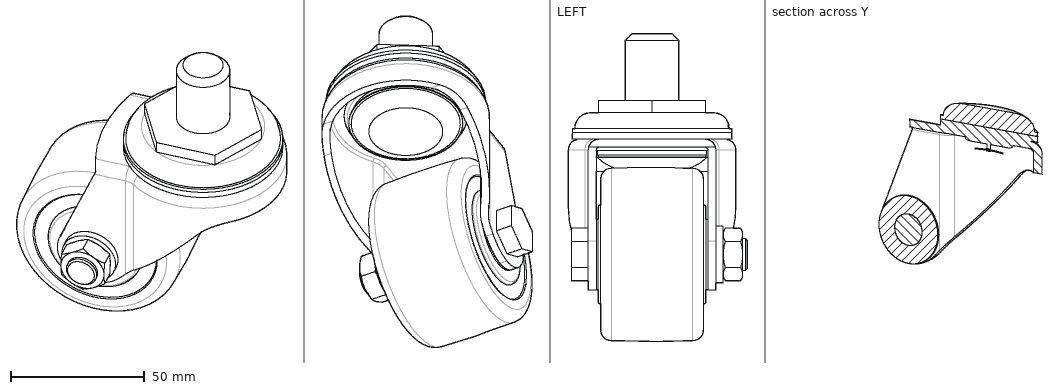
import cadquery as cq
import math


SWIVEL_OFFSET = 36.0
AXLE_R = 6.0

WHEEL_R = 32.5
TREAD_EDGE_R = 32.2
WHEEL_HALF_WIDTH = 19.2
SHOULDER_R = 4.0
RECESS_R = 24.5
RECESS_DEPTH = 0.5
RECESS_SLOPE = 0.5
HUB_R = 18.5
HUB_ROUND = 0.9
HUB_HALF_WIDTH = 20.1
SPACER_R = 13.2

SHEET = 3.0
FORK_HALF_WIDTH = 23.8
FORK_ROUND_R = 31.3
FORK_TOP_Z = 43.0
BEND_R = 4.0
BLEND_R = 6.0
SKIRT_Z = 30.9
LEG_END_R = 13.3
LEG_TOP_X = 1.7
PLATE_FRONT_X = -2.8
BACK_SLOPE = 46.5
BACK_EDGE_R = 15.5

RACE_R = 29.8
RACE_TOP_Z = 45.4
COLLAR_R = 23.0
COLLAR_HEIGHT = 1.3
COLLAR_ROUND = 1.2
CUP_R = 20.4
CUP_CHAMFER = 0.6
CUP_RIM_R = 21.3
CUP_RIM_TOP_Z = 36.5
CUP_RIM_THICKNESS = 0.3
DOME_MID_R = 17.8
DOME_MID_Z = 34.0
DOME_FLOOR_R = 13.8
DOME_FLOOR_Z = 32.2

RIM_TOP_Z = 46.9
CAP_R = 28.9
CAP_FLAT_R = 23.0
CAP_TOP_Z = 52.9
HEX_FLATS = 40.0
HEX_TOP_Z = 57.5
STEM_R = 10.0
STEM_TOP_Z = 82.5
STEM_CHAMFER = 2.5

BOLT_FLATS = 17.0
HEAD_LENGTH = 6.3
WASHER_R = 10.6
WASHER_THICKNESS = 2.8
NUT_LENGTH = 7.2
NUT_CHAMFER_ANGLE = 30
BOLT_END_Y = -35.5
BOLT_END_CHAMFER = 0.7

FORK_INNER_Y = FORK_HALF_WIDTH - SHEET
PLATE_BOTTOM_Z = FORK_TOP_Z - SHEET
DIAGONAL = math.sin(math.radians(45))
CORNERS_PER_FLATS = 1 / math.cos(math.radians(30))
BOLT_CORNERS = BOLT_FLATS * CORNERS_PER_FLATS
MARGIN = 1.2


def spin_about_wheel_axis(profile):
    """Close a (radius, y) profile and revolve it about the Y axis."""
    return profile.close().revolve(360, (0, 0, 0), (0, 1, 0))


def spin_about_swivel_axis(profile):
    """Close a (radius, z) profile, based on the swivel axis, and revolve it about that axis."""
    return profile.close().revolve(360, (0, 0, 0), (0, 1, 0))


def cylinder(radius, bottom, top):
    """Upright cylinder on the swivel axis."""
    return (
        cq.Workplane("XY", origin=(SWIVEL_OFFSET, 0, bottom))
        .circle(radius)
        .extrude(top - bottom)
    )


def axle_cylinder(radius, y_start, y_end):
    """Cylinder on the wheel axis between two Y positions."""
    return (
        cq.Workplane("XZ", origin=(0, y_start, 0))
        .circle(radius)
        .extrude(y_start - y_end)
    )


def axle_hexagon(y_start, y_end):
    """Hexagon on the wheel axis with its corners up and down."""
    return (
        cq.Workplane("XZ", origin=(0, y_start, 0))
        .transformed(rotate=(0, 0, 90))
        .polygon(6, BOLT_CORNERS)
        .extrude(y_start - y_end)
    )


def make_wheel():
    shoulder_y = WHEEL_HALF_WIDTH - SHOULDER_R
    face_r = TREAD_EDGE_R - SHOULDER_R
    shoulder_mid = SHOULDER_R * DIAGONAL
    recess_y = WHEEL_HALF_WIDTH - RECESS_DEPTH

    blank = spin_about_wheel_axis(
        cq.Workplane("XY")
        .moveTo(AXLE_R, -WHEEL_HALF_WIDTH)
        .lineTo(face_r, -WHEEL_HALF_WIDTH)
        .threePointArc((face_r + shoulder_mid, -shoulder_y - shoulder_mid), (TREAD_EDGE_R, -shoulder_y))
        .threePointArc((WHEEL_R, 0), (TREAD_EDGE_R, shoulder_y))
        .threePointArc((face_r + shoulder_mid, shoulder_y + shoulder_mid), (face_r, WHEEL_HALF_WIDTH))
        .lineTo(AXLE_R, WHEEL_HALF_WIDTH)
    )
    recess = spin_about_wheel_axis(
        cq.Workplane("XY")
        .moveTo(0, recess_y)
        .lineTo(RECESS_R - RECESS_SLOPE, recess_y)
        .lineTo(RECESS_R, WHEEL_HALF_WIDTH)
        .lineTo(0, WHEEL_HALF_WIDTH)
    )
    hub = axle_cylinder(HUB_R, HUB_HALF_WIDTH, -HUB_HALF_WIDTH).edges().fillet(HUB_ROUND)
    spacer = axle_cylinder(SPACER_R, FORK_INNER_Y, -FORK_INNER_Y)
    bore = axle_cylinder(AXLE_R, FORK_INNER_Y, -FORK_INNER_Y)
    return blank.cut(recess).cut(recess.mirror("XZ")).union(hub).union(spacer).cut(bore)


def fork_block(inset):
    """Solid block in the fork's outer shape, moved inward by the inset."""
    half_width = FORK_HALF_WIDTH - inset
    round_r = FORK_ROUND_R - inset
    top = FORK_TOP_Z - inset
    front_x = -2 * LEG_END_R
    bottom = -2 * LEG_END_R
    leg_length = SWIVEL_OFFSET - front_x

    legs = (
        cq.Workplane("XY", origin=(front_x, 0, bottom))
        .rect(leg_length, 2 * half_width, centered=(False, True))
        .extrude(top - bottom)
    )
    corner_x = SWIVEL_OFFSET - math.sqrt(round_r**2 - half_width**2)
    corners = cq.selectors.BoxSelector(
        (corner_x - MARGIN, -half_width - MARGIN, bottom),
        (corner_x + MARGIN, half_width + MARGIN, top),
    )
    block = legs.union(cylinder(round_r, bottom, top))
    block = block.edges("|Z").edges(corners).fillet(BLEND_R + inset)
    return block.faces(">Z").edges().fillet(BEND_R - inset)


def side_outline():
    """Fork outline seen along Y, extruded across the whole fork."""
    slope = math.radians(BACK_SLOPE)
    setback = BACK_EDGE_R * math.tan(slope / 2)
    run = setback * math.cos(slope)
    rise = setback * math.sin(slope)

    lower_corner_x = setback
    upper_corner_x = lower_corner_x + (SKIRT_Z + LEG_END_R) / math.tan(slope)

    reach = math.hypot(LEG_TOP_X, PLATE_BOTTOM_Z)
    tangent_angle = math.atan2(PLATE_BOTTOM_Z, LEG_TOP_X) + math.acos(LEG_END_R / reach)
    tangent_point = (LEG_END_R * math.cos(tangent_angle), LEG_END_R * math.sin(tangent_angle))

    leg_end_mid = LEG_END_R * DIAGONAL
    rear_x = SWIVEL_OFFSET + FORK_ROUND_R
    return (
        cq.Workplane("XZ", origin=(0, FORK_ROUND_R, 0))
        .moveTo(*tangent_point)
        .threePointArc((-leg_end_mid, -leg_end_mid), (0, -LEG_END_R))
        .tangentArcPoint((lower_corner_x + run, rise - LEG_END_R), relative=False)
        .lineTo(upper_corner_x - run, SKIRT_Z - rise)
        .tangentArcPoint((upper_corner_x + setback, SKIRT_Z), relative=False)
        .lineTo(rear_x, SKIRT_Z)
        .lineTo(rear_x, FORK_TOP_Z)
        .lineTo(PLATE_FRONT_X, FORK_TOP_Z)
        .lineTo(PLATE_FRONT_X, PLATE_BOTTOM_Z)
        .lineTo(LEG_TOP_X, PLATE_BOTTOM_Z)
        .close()
        .extrude(2 * FORK_ROUND_R)
    )


def plate_front_trim():
    """Material removed ahead of the top plate's bowed front edge."""
    return (
        cq.Workplane("XY", origin=(0, 0, PLATE_BOTTOM_Z))
        .moveTo(LEG_TOP_X, -FORK_HALF_WIDTH)
        .threePointArc((PLATE_FRONT_X, 0), (LEG_TOP_X, FORK_HALF_WIDTH))
        .lineTo(PLATE_FRONT_X - MARGIN, FORK_HALF_WIDTH)
        .lineTo(PLATE_FRONT_X - MARGIN, -FORK_HALF_WIDTH)
        .close()
        .extrude(SHEET)
    )


def bearing_cup():
    """Collar, cup, thin rim and shallow dome stacked under the top plate."""
    collar = cylinder(COLLAR_R, PLATE_BOTTOM_Z - COLLAR_HEIGHT, PLATE_BOTTOM_Z)
    collar = collar.faces("<Z").edges().fillet(COLLAR_ROUND)
    cup = cylinder(CUP_R, CUP_RIM_TOP_Z, PLATE_BOTTOM_Z).faces("<Z").chamfer(CUP_CHAMFER)
    rim_bottom = CUP_RIM_TOP_Z - CUP_RIM_THICKNESS
    rim = cylinder(CUP_RIM_R, rim_bottom, CUP_RIM_TOP_Z)
    dome = spin_about_swivel_axis(
        cq.Workplane("XZ", origin=(SWIVEL_OFFSET, 0, 0))
        .moveTo(0, rim_bottom)
        .lineTo(CUP_R, rim_bottom)
        .threePointArc((DOME_MID_R, DOME_MID_Z), (DOME_FLOOR_R, DOME_FLOOR_Z))
        .lineTo(0, DOME_FLOOR_Z)
    )
    return collar.union(cup).union(rim).union(dome)


def make_fork():
    sheet = fork_block(0).cut(fork_block(SHEET))
    sheet = sheet.intersect(side_outline()).cut(plate_front_trim())
    race = cylinder(RACE_R, FORK_TOP_Z, RACE_TOP_Z)
    axle_hole = axle_cylinder(AXLE_R, FORK_HALF_WIDTH, -FORK_HALF_WIDTH)
    return sheet.cut(axle_hole).union(race).union(bearing_cup())


def make_swivel():
    rim = cylinder(RACE_R, RACE_TOP_Z, RIM_TOP_Z)
    round_r = CAP_R - CAP_FLAT_R
    round_mid = round_r * DIAGONAL
    round_z = CAP_TOP_Z - round_r
    cap = spin_about_swivel_axis(
        cq.Workplane("XZ", origin=(SWIVEL_OFFSET, 0, 0))
        .moveTo(0, RIM_TOP_Z)
        .lineTo(CAP_R, RIM_TOP_Z)
        .lineTo(CAP_R, round_z)
        .threePointArc((CAP_FLAT_R + round_mid, round_z + round_mid), (CAP_FLAT_R, CAP_TOP_Z))
        .lineTo(0, CAP_TOP_Z)
    )
    hexagon = (
        cq.Workplane("XY", origin=(SWIVEL_OFFSET, 0, CAP_TOP_Z))
        .polygon(6, HEX_FLATS * CORNERS_PER_FLATS)
        .extrude(HEX_TOP_Z - CAP_TOP_Z)
    )
    stem = cylinder(STEM_R, HEX_TOP_Z, STEM_TOP_Z).faces(">Z").chamfer(STEM_CHAMFER)
    return rim.union(cap).union(hexagon).union(stem)


def make_nut(y_start):
    """Hexagon nut with conical chamfers on both faces."""
    y_end = y_start - NUT_LENGTH
    face_r = BOLT_FLATS / 2
    outer_r = BOLT_CORNERS / 2
    chamfer = (outer_r - face_r) * math.tan(math.radians(NUT_CHAMFER_ANGLE))
    envelope = spin_about_wheel_axis(
        cq.Workplane("XY")
        .moveTo(0, y_start)
        .lineTo(face_r, y_start)
        .lineTo(outer_r, y_start - chamfer)
        .lineTo(outer_r, y_end + chamfer)
        .lineTo(face_r, y_end)
        .lineTo(0, y_end)
    )
    return axle_hexagon(y_start, y_end).intersect(envelope)


def make_axle_bolt():
    washer_end = -FORK_HALF_WIDTH - WASHER_THICKNESS
    shank = axle_cylinder(AXLE_R, FORK_HALF_WIDTH, BOLT_END_Y).faces("<Y").chamfer(BOLT_END_CHAMFER)
    head = axle_hexagon(FORK_HALF_WIDTH + HEAD_LENGTH, FORK_HALF_WIDTH)
    washer = axle_cylinder(WASHER_R, -FORK_HALF_WIDTH, washer_end)
    return shank.union(head).union(washer).union(make_nut(washer_end))


wheel = make_wheel()
fork = make_fork()
swivel = make_swivel()
axle_bolt = make_axle_bolt()

result = cq.Compound.makeCompound([wheel.val(), fork.val(), swivel.val(), axle_bolt.val()])